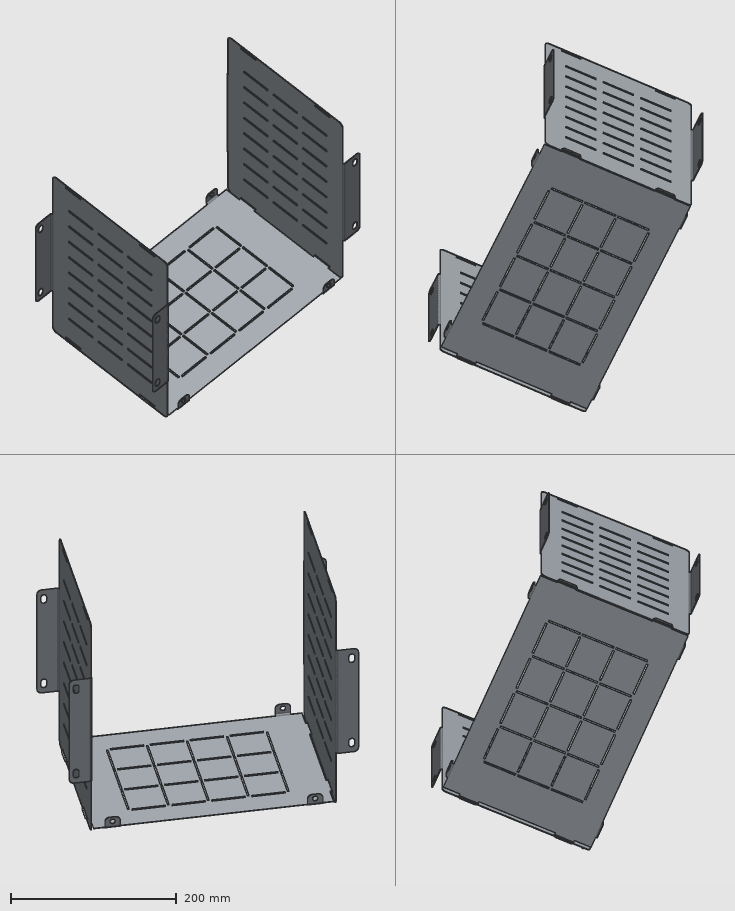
import cadquery as cq

width = 199.0
length = 356.0
wall_height = 300.0

sheet = 1.0
bend_inner = 1.5
bend_outer = bend_inner + sheet
plate_width = width - 2 * bend_outer
cut_reach = 7.0

wall_inner_y = 150.0
wall_outer_y = wall_inner_y + sheet
wall_corner_radius = 6.0

flange_height = 150.0
flange_corner_radius = 6.0
flange_slot_width = 7.0
flange_slot_length = 12.0
flange_slot_from_edge = 8.5
flange_slot_from_end = 13.5

vent_columns = 3
vent_rows = 8
vent_length = 40.2
vent_width = 2.0
vent_pitch_x = 50.0
vent_pitch_z = 30.0

floor_bottom = 4.0
floor_length = 295.0

tab_width = 25.0
tab_end_y = 153.0
tab_corner_radius = 3.0
tab_centre_x = 62.5
tab_slot_width = 25.5
tab_slot_height = 1.5

ear_width = 19.0
ear_top = 19.5
ear_corner_radius = 6.0
ear_centre_y = 124.5
ear_hole_diameter = 6.5
ear_hole_z = 13.0

grid_columns = 3
grid_rows = 4
grid_pitch_x = 44.0
grid_pitch_y = 49.0
grid_slot_width = 2.0
grid_slot_x_length = 41.0
grid_slot_y_length = 41.0


def block(x_size, y_size, z_size, centre):
    """A box around the given centre."""
    return cq.Workplane("XY").box(x_size, y_size, z_size).translate(centre)


def spread(count, pitch):
    """Positions of evenly pitched items, centred on zero."""
    return [(i - (count - 1) / 2) * pitch for i in range(count)]


def flange_channel():
    """U-shaped sheet, open towards -Y: the middle of a wall with its two bent flanges."""
    depth = length / 2 - wall_inner_y
    centre_y = -wall_inner_y - depth / 2
    middle_z = wall_height / 2
    outside = block(width, depth, flange_height, (0, centre_y, middle_z))
    outside = outside.edges("|Z and >Y").fillet(bend_outer)
    outside = outside.edges("|X and <Y").fillet(flange_corner_radius)
    inside = block(width - 2 * sheet, depth, flange_height, (0, centre_y - sheet, middle_z))
    inside = inside.edges("|Z and >Y").fillet(bend_inner)
    return outside.cut(inside)


def flange_slots():
    """Upright rounded slots, one near each end of a flange, cut through both flanges."""
    slot_y = -length / 2 + flange_slot_from_edge
    slot_z = flange_height / 2 - flange_slot_from_end
    return (
        cq.Workplane("YZ")
        .pushPoints([(slot_y, wall_height / 2 + side * slot_z) for side in (-1, 1)])
        .slot2D(flange_slot_length, flange_slot_width, 90)
        .extrude(width, both=True)
    )


def wall_slots(points, slot_length, slot_width):
    """Level slots through the wall at the given (x, z) points."""
    return (
        cq.Workplane("XZ", origin=(0, -wall_inner_y, 0))
        .pushPoints(points)
        .rect(slot_length, slot_width)
        .extrude(cut_reach, both=True)
    )


def make_wall():
    """The wall on the -Y side."""
    plate_y = -(wall_inner_y + wall_outer_y) / 2
    plate = block(plate_width, sheet, wall_height, (0, plate_y, wall_height / 2))
    plate = plate.edges("|Y").fillet(wall_corner_radius)

    vents = [
        (x, wall_height / 2 + z)
        for x in spread(vent_columns, vent_pitch_x)
        for z in spread(vent_rows, vent_pitch_z)
    ]
    tab_slot_z = floor_bottom + sheet / 2
    tab_slots = [
        (side * tab_centre_x, z)
        for side in (-1, 1)
        for z in (tab_slot_z, wall_height - tab_slot_z)
    ]
    return (
        plate.union(flange_channel())
        .cut(flange_slots())
        .cut(wall_slots(vents, vent_length, vent_width))
        .cut(wall_slots(tab_slots, tab_slot_width, tab_slot_height))
    )


def floor_plate():
    """Flat sheet of the floor with two tabs on each end."""
    middle_z = floor_bottom + sheet / 2
    plate = block(plate_width, floor_length, sheet, (0, 0, middle_z))
    for side in (-1, 1):
        tab = block(tab_width, 2 * tab_end_y, sheet, (side * tab_centre_x, 0, middle_z))
        plate = plate.union(tab.edges("|Z").fillet(tab_corner_radius))
    return plate


def ear_pair(centre_y):
    """U-shaped strip across the floor: two upright ears and the bends that carry them."""
    height = ear_top - floor_bottom
    centre_z = floor_bottom + height / 2
    outside = block(width, ear_width, height, (0, centre_y, centre_z))
    outside = outside.edges("|Y and <Z").fillet(bend_outer)
    outside = outside.edges("|X and >Z").fillet(ear_corner_radius)
    inside = block(width - 2 * sheet, ear_width, height, (0, centre_y, centre_z + sheet))
    inside = inside.edges("|Y and <Z").fillet(bend_inner)
    hole = (
        cq.Workplane("YZ")
        .center(centre_y, ear_hole_z)
        .circle(ear_hole_diameter / 2)
        .extrude(width, both=True)
    )
    return outside.cut(inside).cut(hole)


def grid_slots(points, x_size, y_size):
    """Slots through the floor at the given (x, y) points."""
    return (
        cq.Workplane("XY", origin=(0, 0, floor_bottom))
        .pushPoints(points)
        .rect(x_size, y_size)
        .extrude(cut_reach, both=True)
    )


def make_floor():
    """Floor with tabs, ears and a grid of slots outlining rectangular panels."""
    cell_x = spread(grid_columns, grid_pitch_x)
    cell_y = spread(grid_rows, grid_pitch_y)
    line_x = spread(grid_columns + 1, grid_pitch_x)
    line_y = spread(grid_rows + 1, grid_pitch_y)
    along_x = [(x, y) for x in cell_x for y in line_y]
    along_y = [(x, y) for x in line_x for y in cell_y]

    floor = floor_plate()
    for side in (-1, 1):
        floor = floor.union(ear_pair(side * ear_centre_y))
    floor = floor.cut(grid_slots(along_x, grid_slot_x_length, grid_slot_width))
    return floor.cut(grid_slots(along_y, grid_slot_width, grid_slot_y_length))


walls = [make_wall().rotate((0, 0, 0), (0, 0, 1), angle).val() for angle in (0, 180)]
floor = make_floor()

result = cq.Compound.makeCompound([floor.val(), *walls])